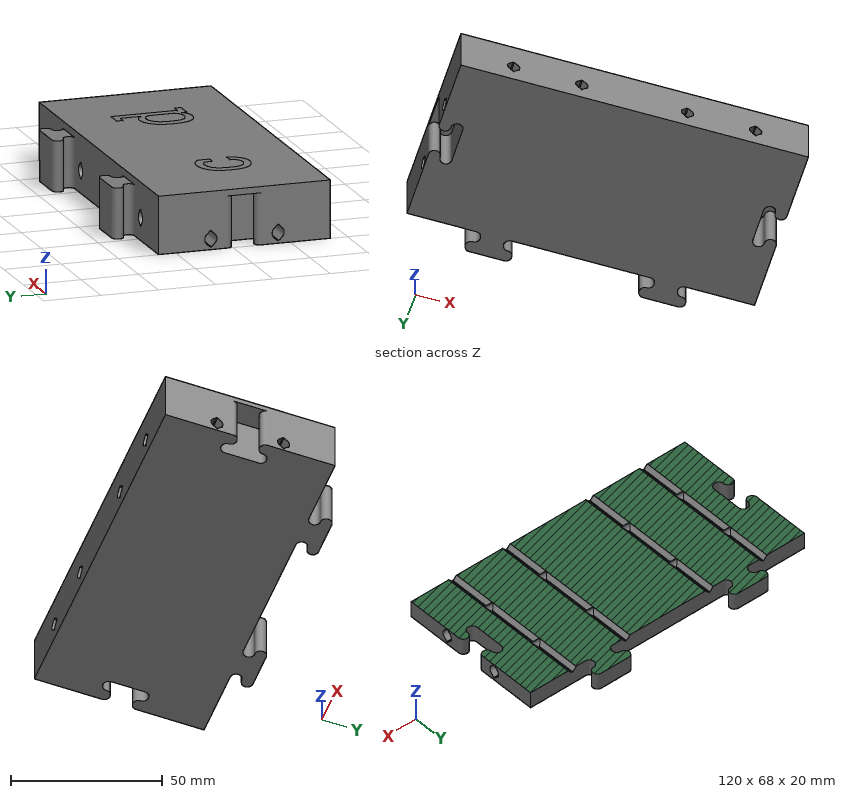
import cadquery as cq
import math

TILE = 60.0
TILE_COUNT = 2
LENGTH = TILE * TILE_COUNT
HEIGHT = 20.0

PEG_REACH = 8.0
PEG_HEIGHT = 17.5
PEG_HEAD_WIDTH = 16.1
PEG_NECK_WIDTH = 8.0
PEG_FOOT_WIDTH = 11.4
ROOT_OVERLAP = 1.2
SOCKET_HEIGHT = 17.9

HOLE_DIAMETER = 4.2
HOLE_HEIGHT = 5.5
HOLE_OFFSET = 11.8
END_HOLE_Z = 3.7
FRONT_HOLE_Z = 7.8

INLAY_DEPTH = 1.0


def peg_profile():
    """T outline pointing along +Y: hollow neck sides, half-round head ends.

    The root runs back past y = 0 so that it merges with, or cuts cleanly through, the face there.
    """
    foot_x = PEG_FOOT_WIDTH / 2
    neck_x = PEG_NECK_WIDTH / 2
    head_radius = PEG_REACH / 4
    neck_y = head_radius
    under_y = 2 * head_radius
    head_y = 3 * head_radius
    head_x = PEG_HEAD_WIDTH / 2
    round_x = head_x - head_radius
    return (
        cq.Workplane("XY")
        .moveTo(-foot_x, -ROOT_OVERLAP)
        .lineTo(foot_x, -ROOT_OVERLAP)
        .lineTo(foot_x, 0)
        .threePointArc((neck_x, neck_y), (foot_x, under_y))
        .lineTo(round_x, under_y)
        .threePointArc((head_x, head_y), (round_x, PEG_REACH))
        .lineTo(-round_x, PEG_REACH)
        .threePointArc((-head_x, head_y), (-round_x, under_y))
        .lineTo(-foot_x, under_y)
        .threePointArc((-neck_x, neck_y), (-foot_x, 0))
        .close()
    )


def pegs():
    """One peg in the middle of each tile on the +Y face."""
    peg = peg_profile().extrude(PEG_HEIGHT)
    return [peg.translate(((i + 0.5) * TILE, TILE, 0)) for i in range(TILE_COUNT)]


def sockets():
    """One socket in the middle of each end face, open at the bottom."""
    socket = peg_profile().extrude(SOCKET_HEIGHT)
    left = socket.rotate((0, 0, 0), (0, 0, 1), -90).translate((0, TILE / 2, 0))
    right = left.mirror("YZ").translate((LENGTH, 0, 0))
    return [left, right]


def peaked_holes(plane, centers, length):
    """Holes of one shape along the normal of the plane; the 45 degree flanks are tangent to the round sides."""
    radius = HOLE_DIAMETER / 2
    tangent = radius * math.sqrt(0.5)
    tip = HOLE_HEIGHT / 2
    tip_half_width = 2 * tangent - tip
    holes = []
    for across, up in centers:
        outline = (
            cq.Workplane(plane)
            .center(across, up)
            .moveTo(tip_half_width, tip)
            .lineTo(tangent, tangent)
            .threePointArc((radius, 0), (tangent, -tangent))
            .lineTo(tip_half_width, -tip)
            .lineTo(-tip_half_width, -tip)
            .lineTo(-tangent, -tangent)
            .threePointArc((-radius, 0), (-tangent, tangent))
            .lineTo(-tip_half_width, tip)
            .close()
        )
        holes.append(outline.extrude(length))
    return holes


def end_holes():
    centers = [(TILE / 2 + side * HOLE_OFFSET, END_HOLE_Z) for side in (-1, 1)]
    return peaked_holes("YZ", centers, LENGTH)


def front_holes():
    tile_centers = [(i + 0.5) * TILE for i in range(TILE_COUNT)]
    centers = [(x + side * HOLE_OFFSET, FRONT_HOLE_Z) for x in tile_centers for side in (-1, 1)]
    return peaked_holes("XZ", centers, -TILE)


def letter_plane():
    return cq.Workplane("XY").workplane(offset=HEIGHT - INLAY_DEPTH)


def make_letter_c():
    outer_curve = [(30.5, 36.0), (24.1, 33.2), (22.2, 26.7), (23.9, 20.6), (30.7, 17.5), (37.2, 23.3)]
    inner_curve = [(30.5, 20.0), (26.5, 21.7), (25.3, 26.9), (26.5, 31.3), (30.3, 33.2), (33.7, 32.4)]
    upper_end_right = 36.8
    upper_end_bottom = 29.4
    upper_end_top = 33.5
    ends_left = 34.2
    lower_end_top = 23.3
    return (
        letter_plane()
        .moveTo(upper_end_right, upper_end_bottom)
        .lineTo(upper_end_right, upper_end_top)
        .spline(outer_curve, includeCurrent=True)
        .lineTo(ends_left, lower_end_top)
        .spline(inner_curve, includeCurrent=True)
        .lineTo(ends_left, upper_end_bottom)
        .close()
        .extrude(INLAY_DEPTH)
    )


def make_letter_d():
    stem_left = 92.7
    stem_right = 95.7
    serif_left = 90.1
    foot_right = 98.5
    base = 17.9
    foot_top = 20.2
    serif_bottom = 41.0
    top = 43.3
    bowl_top = 34.0
    bowl_bottom = 19.7
    counter_top = 31.3
    counter_bottom = 22.3
    outer_curve = [(87.8, 17.5), (82.8, 19.9), (80.8, 26.4), (82.8, 33.2), (87.8, 35.9), (stem_left, bowl_top)]
    inner_curve = [(88.4, 33.2), (85.2, 31.3), (84.1, 26.4), (85.2, 21.7), (88.2, 20.2), (stem_left, counter_bottom)]
    outer = (
        letter_plane()
        .moveTo(stem_left, bowl_top)
        .lineTo(stem_left, serif_bottom)
        .lineTo(serif_left, serif_bottom)
        .lineTo(serif_left, top)
        .lineTo(stem_right, top)
        .lineTo(stem_right, foot_top)
        .lineTo(foot_right, foot_top)
        .lineTo(foot_right, base)
        .lineTo(stem_left, base)
        .lineTo(stem_left, bowl_bottom)
        .spline(outer_curve, includeCurrent=True)
        .close()
        .extrude(INLAY_DEPTH)
    )
    counter = (
        letter_plane()
        .moveTo(stem_left, counter_top)
        .spline(inner_curve, includeCurrent=True)
        .close()
        .extrude(INLAY_DEPTH)
    )
    return outer.cut(counter)


def make_block(inlays):
    """Block with its pegs, sockets, through holes and the recesses that hold the inlays."""
    block = cq.Workplane("XY").box(LENGTH, TILE, HEIGHT, centered=False)
    for peg in pegs():
        block = block.union(peg)
    for cutter in sockets() + end_holes() + front_holes() + inlays:
        block = block.cut(cutter)
    return block


letter_c = make_letter_c()
letter_d = make_letter_d()
block = make_block([letter_c, letter_d])

result = cq.Compound.makeCompound([block.val(), letter_c.val(), letter_d.val()])